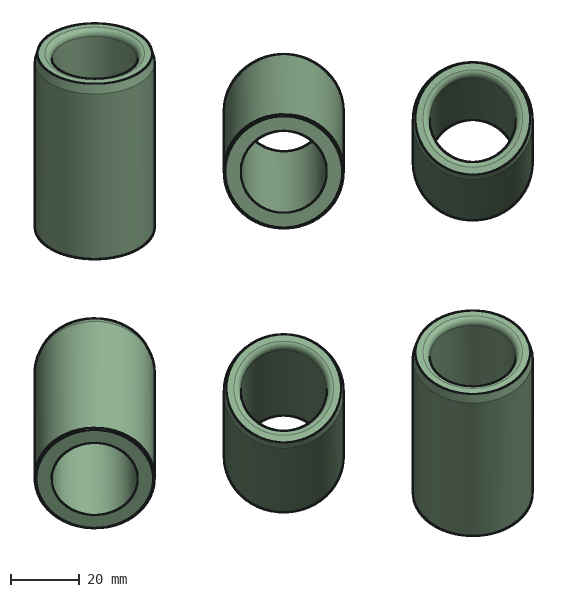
import cadquery as cq
import math

length = 60.0
outer_diameter = 35.0
bore_diameter = 25.0

lead_in_height = 3.0
lead_in_angle = 15.0
bore_mouth_radius = 2.0
bottom_chamfer = 0.5

outer_radius = outer_diameter / 2
lead_in_depth = lead_in_height * math.tan(math.radians(lead_in_angle))


def sleeve_body():
    """Outer body with a tapered top lead-in and a small bottom chamfer."""
    half_profile = (
        cq.Workplane("XZ")
        .lineTo(outer_radius - bottom_chamfer, 0)
        .lineTo(outer_radius, bottom_chamfer)
        .lineTo(outer_radius, length - lead_in_height)
        .lineTo(outer_radius - lead_in_depth, length)
        .lineTo(0, length)
        .close()
    )
    return half_profile.revolve(360, (0, 0, 0), (0, 1, 0))


bored_sleeve = sleeve_body().faces(">Z").workplane().hole(bore_diameter)

result = bored_sleeve.faces(">Z").edges(cq.selectors.RadiusNthSelector(0)).fillet(bore_mouth_radius)